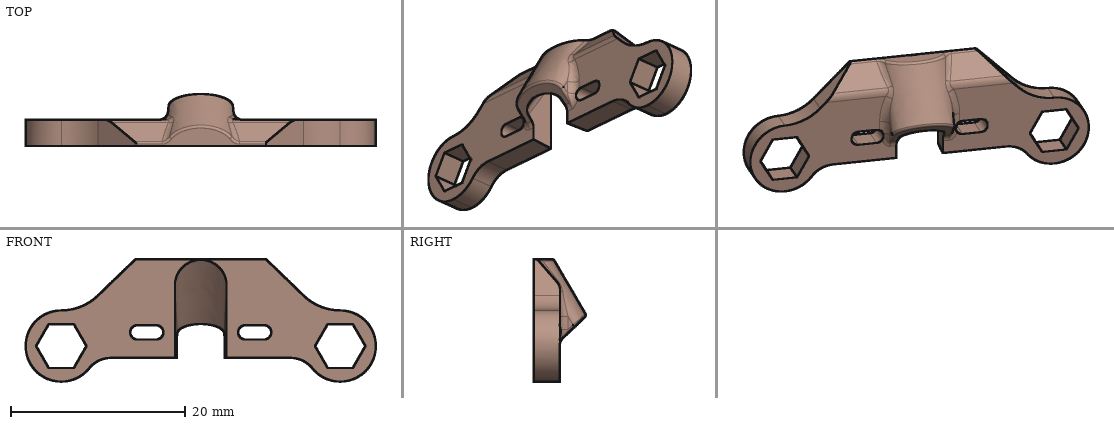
import cadquery as cq
import math

overall_length = 40.25
plate_thickness = 3.0
lug_radius = 4.1
lug_x = overall_length / 2 - lug_radius
top_z = 9.98
bottom_z = -1.35
top_half_width = 7.5
shoulder_z = 5.8
shoulder_angle = math.radians(44)
bottom_fillet_radius = 3.2

bevel_height = 3.0
top_land = 0.4
bevel_edge_radius = 1.35
crest_radius = 0.4

hex_across_flats = 5.0
slot_x = 6.2
slot_z = 1.55
slot_length = 3.8
slot_height = 1.6

hood_tip_y = 6.07
hood_tip_z = 3.5
hood_top_y = 2.3
hood_front_half_width = 4.02
hood_tip_half_width = 3.62
hood_slope = (top_z - hood_tip_z) / (hood_tip_y - hood_top_y)
hood_front_crown = hood_tip_z + hood_slope * hood_tip_y
mouth_slope = 0.95
hood_fillet_radius = 1.0
mouth_edge_radius = 0.32

channel_front_half_width = 2.98
channel_front_crown = 9.9
channel_mouth_y = 4.83
channel_mouth_half_width = 2.6
channel_mouth_crown = 2.8

arch_base_z = -6.05

select_margin = 0.05


def plate():
    """Extrude the two-lug outline and bevel its upper back edge."""
    shoulder_x = top_half_width + (top_z - shoulder_z) / math.tan(shoulder_angle)
    lower_center_z = bottom_z - bottom_fillet_radius
    center_distance = lug_radius + bottom_fillet_radius
    lower_center_x = lug_x - math.sqrt(center_distance**2 - lower_center_z**2)
    blend = lug_radius / center_distance
    lug_join_x = lug_x + (lower_center_x - lug_x) * blend
    lug_join_z = lower_center_z * blend
    half = (
        cq.Workplane("XZ")
        .moveTo(0, bottom_z)
        .lineTo(0, top_z)
        .lineTo(top_half_width, top_z)
        .lineTo(shoulder_x, shoulder_z)
        .tangentArcPoint((lug_x, lug_radius), relative=False)
        .threePointArc((lug_x + lug_radius, 0), (lug_x, -lug_radius))
        .tangentArcPoint((lug_join_x, lug_join_z), relative=False)
        .tangentArcPoint((lower_center_x, bottom_z), relative=False)
        .close()
        .extrude(-plate_thickness)
    )
    body = half.union(half.mirror("YZ")).clean()
    bevel = (
        cq.Workplane("YZ")
        .moveTo(top_land, top_z)
        .lineTo(plate_thickness, top_z - bevel_height)
        .lineTo(plate_thickness, top_z)
        .close()
        .extrude(overall_length / 2, both=True)
    )
    bevel_edges = cq.selectors.BoxSelector(
        (-overall_length, plate_thickness - select_margin, top_z - bevel_height - select_margin),
        (overall_length, plate_thickness + select_margin, top_z - bevel_height + select_margin),
    )
    return body.cut(bevel).edges(bevel_edges).fillet(bevel_edge_radius)


def arch_wire(half_width, crown_z, y):
    """Return a round-topped arch outline on a plane of constant y."""
    spring_z = crown_z - half_width
    return (
        cq.Workplane("XZ", origin=(0, y, 0))
        .moveTo(-half_width, arch_base_z)
        .lineTo(-half_width, spring_z)
        .threePointArc((0, crown_z), (half_width, spring_z))
        .lineTo(half_width, arch_base_z)
        .close()
        .val()
    )


def tapered_arch(front_width, front_crown, back_width, back_crown, back_y, front_y, end_y):
    """Loft an arch whose width and crown vary linearly with y."""
    wires = []
    for y in (front_y, end_y):
        part = y / back_y
        width = front_width + (back_width - front_width) * part
        crown = front_crown + (back_crown - front_crown) * part
        wires.append(arch_wire(width, crown, y))
    return cq.Workplane(cq.Solid.makeLoft(wires, True))


def hood():
    """Trim the sloping arch to the plate top and the slanted mouth."""
    arch = tapered_arch(
        hood_front_half_width, hood_front_crown, hood_tip_half_width, hood_tip_z, hood_tip_y,
        0, hood_tip_y,
    )
    mouth_foot_z = hood_tip_z - mouth_slope * (hood_tip_y - plate_thickness)
    envelope = (
        cq.Workplane("YZ")
        .moveTo(0, top_z)
        .lineTo(hood_tip_y, top_z)
        .lineTo(hood_tip_y, hood_tip_z)
        .lineTo(plate_thickness, mouth_foot_z)
        .lineTo(0, bottom_z)
        .close()
        .extrude(overall_length / 2, both=True)
    )
    trimmed = arch.intersect(envelope)
    return trimmed.edges(">Y").fillet(mouth_edge_radius)


def channel():
    return tapered_arch(
        channel_front_half_width, channel_front_crown,
        channel_mouth_half_width, channel_mouth_crown, channel_mouth_y,
        0, hood_tip_y,
    )


def hex_holes():
    return (
        cq.Workplane("XZ")
        .pushPoints([(-lug_x, 0), (lug_x, 0)])
        .polygon(6, hex_across_flats / math.cos(math.pi / 6))
        .extrude(-plate_thickness)
    )


def slots():
    return (
        cq.Workplane("XZ")
        .pushPoints([(-slot_x, slot_z), (slot_x, slot_z)])
        .slot2D(slot_length, slot_height)
        .extrude(-hood_tip_y)
    )


body = plate().union(hood())
foot_edges = cq.selectors.BoxSelector(
    (-hood_front_half_width, plate_thickness - select_margin, 0),
    (hood_front_half_width, plate_thickness + select_margin, top_z - bevel_height),
)
body = body.edges(foot_edges).fillet(hood_fillet_radius)
crest_edges = cq.selectors.BoxSelector(
    (-top_half_width, top_land / 2, top_z - select_margin),
    (top_half_width, hood_tip_y, top_z + select_margin),
)
body = body.edges(crest_edges).fillet(crest_radius)
result = body.cut(channel()).cut(hex_holes()).cut(slots())